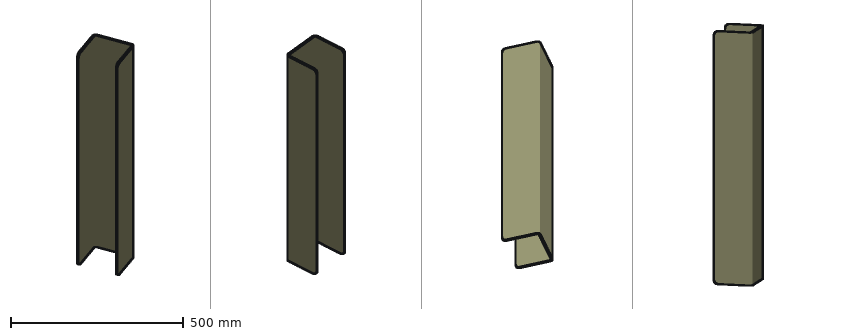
import cadquery as cq

length = 746.0
width = 130.0
depth = 115.0
thickness = 5.0
inner_bend_radius = 5.0
outer_bend_radius = inner_bend_radius + thickness
flange_corner_radius = 13.0


def bent_block(block_width, block_depth, back_y, bend_radius):
    """Full-length block whose two vertical edges at back_y are rounded."""
    return (
        cq.Workplane("XY")
        .center(0, back_y - block_depth / 2)
        .rect(block_width, block_depth)
        .extrude(length)
        .edges("|Z and >Y")
        .fillet(bend_radius)
    )


outside = bent_block(width, depth, depth, outer_bend_radius)
inside = bent_block(width - 2 * thickness, depth - thickness, depth - thickness, inner_bend_radius)
channel = outside.cut(inside)

result = channel.edges("|X and <Y and (>Z or <Z)").fillet(flange_corner_radius)